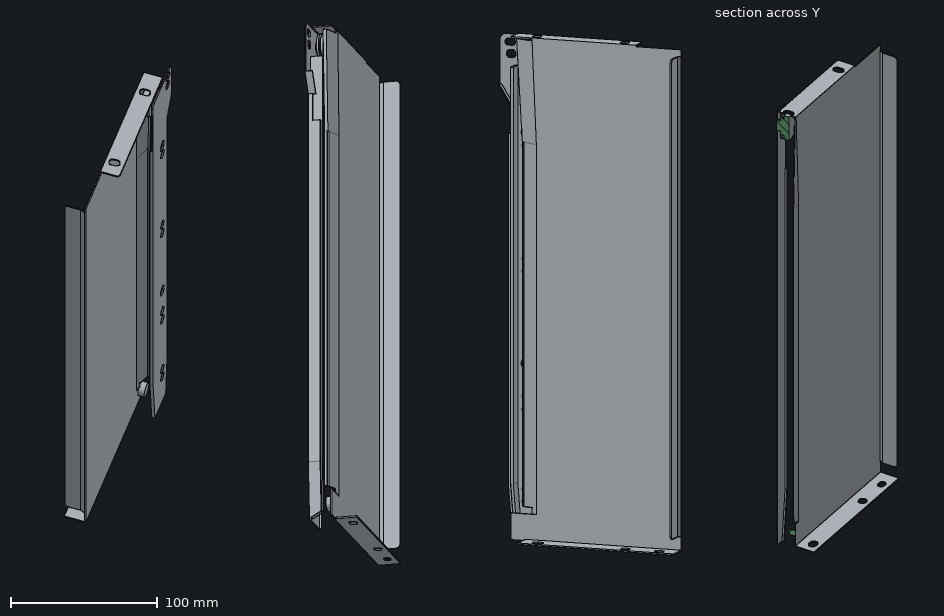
import cadquery as cq

WIDTH = 30.3
HEIGHT = 352.0
DEPTH = 137.5
SHEET = 1.0

PLATE_X = 14.8
PLATE_TOP = HEIGHT - SHEET
PANEL_BOTTOM = 3.0
CREASE_Z = 278.5
JOGGLE_START_Y = 105.5
JOGGLE_END_Y = 117.5
JOGGLE_START_TOP_Y = 108.8
JOGGLE_END_TOP_Y = 121.8
JOGGLE_X = 19.5
TAB_X = 22.0
FLAP_TOP = 22.0
FLAP_BACK_Y = 124.3
RELIEF_START_Y = 109.0
RELIEF_TOP = 26.0
TOP_RELIEF = 1.0
TAB_STEP = 0.7

FRONT_BOTTOM = 13.7
FRONT_TOP = 346.5
FRONT_SETBACK = 1.5
FRONT_SLOPE_X = 11.5
FRONT_CORNER = 2.8

BOTTOM_FLANGE_BACK_Y = 113.7
BOTTOM_HOLE_X = 6.0
BOTTOM_HOLES = [(101.0, 7.5, 5.5), (37.3, 6.5, 5.5), (12.5, 6.7, 4.5)]

TOP_FLANGE_FRONT_Y = 33.0
TOP_FLANGE_BACK_Y = 124.0
TOP_FLANGE_X = 28.5
TOP_FLANGE_CORNER = 2.0
TOP_HOLE_X = 21.5
TOP_HOLE_YS = [43.5, 107.7]
TOP_HOLE_LENGTH = 7.7
TOP_HOLE_WIDTH = 5.3

PIN_Y = 114.0
PIN_Z = 14.0
PIN_RADIUS = 5.3
PIN_END_X = 20.5

WEB_X = WIDTH - SHEET
WEB_FRONT_Y = 99.0
WEB_FOOT_FRONT_Y = 102.8
RAIL_BACK_Y = 129.0
RAIL_TAPER_Z = 40.5
BACK_TAPER = 3.0
EAR_BOTTOM_Z = 316.0
EAR_SLOPE_END_Z = 302.5
EAR_CORNER = 2.5
EAR_LIP_X = 25.0
NARROW_LIP_X = 27.0
FLANGE_X = 20.8
OUTER_FLANGE_X = 22.0
FLANGE_THICKNESS = 2.0
INNER_FLANGE_TOP = 329.5
OUTER_FLANGE_TOP = 283.5
FLANGE_BOTTOM_INSIDE = 6.5
FLANGE_BOTTOM_WEB = 1.8
FRONT_LIP_X = 27.8
FRONT_LIP_TOP = 300.3

EAR_SLOTS = [(130.2, 345.3, 7.5, 4.5), (129.5, 337.2, 6.7, 5.5)]
WEB_HOLE_Y = 118.3
WEB_HOLE_DIAMETER = 6.5
WEB_HOLE_ZS = [274.2, 196.0, 187.0, 100.5, 91.0, 36.3, 27.8]
LARGE_HOLE_DIAMETER = 7.7
LARGE_HOLE_ZS = [283.5, 123.2]

ROLLER_Y = 109.0
ROLLER_Z = 340.5
ROLLER_RADIUS = 10.0
ROLLER_START_X = 20.0
ROLLER_END_X = 27.0
GROOVE_RADIUS = 7.0
GROOVE_START_X = 24.3
GROOVE_END_X = 25.7
AXLE_RADIUS = 4.2


def box(x0, x1, y0, y1, z0, z1):
    """Box between the given limits."""
    return cq.Workplane("XY").box(x1 - x0, y1 - y0, z1 - z0, centered=False).translate((x0, y0, z0))


def slab_yz(points, x0, x1):
    """Outline in Y and Z, extruded along X from x0 to x1."""
    return cq.Workplane("YZ").workplane(offset=x0).polyline(points).close().extrude(x1 - x0)


def disc(y, z, radius, x0, x1):
    """Cylinder along X."""
    return cq.Workplane("YZ").workplane(offset=x0).center(y, z).circle(radius).extrude(x1 - x0)


def plate_outline(joggle_start_y, joggle_end_y):
    """Horizontal section of the plate: flat, sloped joggle and end tab."""
    inner_x = PLATE_X + SHEET
    return [
        (PLATE_X, 0),
        (inner_x, 0),
        (inner_x, joggle_start_y),
        (JOGGLE_X + SHEET, joggle_end_y - SHEET),
        (TAB_X, joggle_end_y - SHEET),
        (TAB_X, joggle_end_y),
        (JOGGLE_X, joggle_end_y),
        (PLATE_X, joggle_start_y),
    ]


def make_plate():
    """Plate with a joggle along its back, leaning above the crease, and a flat flap below it."""
    lower = (
        cq.Workplane("XY").workplane(offset=FLAP_TOP)
        .polyline(plate_outline(JOGGLE_START_Y, JOGGLE_END_Y)).close()
        .extrude(CREASE_Z - FLAP_TOP)
    )
    upper = (
        cq.Workplane("XY").workplane(offset=CREASE_Z)
        .polyline(plate_outline(JOGGLE_START_Y, JOGGLE_END_Y)).close()
        .workplane(offset=PLATE_TOP - CREASE_Z)
        .polyline(plate_outline(JOGGLE_START_TOP_Y, JOGGLE_END_TOP_Y)).close()
        .loft(ruled=True)
    )
    relief = box(PLATE_X, TAB_X, RELIEF_START_Y, JOGGLE_END_Y, FLAP_TOP, RELIEF_TOP)
    tab_step = box(
        JOGGLE_X - TAB_STEP, JOGGLE_X + TAB_STEP, JOGGLE_END_Y - SHEET, JOGGLE_END_Y, FLAP_TOP, CREASE_Z
    )
    joggle_top = PLATE_TOP - TOP_RELIEF
    top_relief = box(PLATE_X + SHEET, TAB_X, 0, JOGGLE_END_TOP_Y, joggle_top, PLATE_TOP)
    flap = box(PLATE_X, PLATE_X + SHEET, 0, FLAP_BACK_Y, PANEL_BOTTOM, FLAP_TOP)
    return lower.cut(relief).cut(tab_step).union(upper.cut(top_relief)).union(flap)


def make_front_flange():
    """Flange set back from the front edge and joined to the plate by a short slope."""
    section = [
        (0, FRONT_SETBACK),
        (FRONT_SLOPE_X, FRONT_SETBACK),
        (PLATE_X, 0),
        (PLATE_X, SHEET),
        (FRONT_SLOPE_X, FRONT_SETBACK + SHEET),
        (0, FRONT_SETBACK + SHEET),
    ]
    flange = (
        cq.Workplane("XY").workplane(offset=FRONT_BOTTOM)
        .polyline(section).close().extrude(FRONT_TOP - FRONT_BOTTOM)
    )
    return flange.edges("|Y and <X").fillet(FRONT_CORNER)


def make_bottom_flange():
    """Slotted flange along the bottom, turned towards -X."""
    flange = box(0, PLATE_X + SHEET, 0, BOTTOM_FLANGE_BACK_Y, PANEL_BOTTOM, PANEL_BOTTOM + SHEET)
    for y, length, width in BOTTOM_HOLES:
        slot = (
            cq.Workplane("XY").workplane(offset=PANEL_BOTTOM)
            .center(BOTTOM_HOLE_X, y).slot2D(length, width, angle=90).extrude(SHEET)
        )
        flange = flange.cut(slot)
    return flange


def make_top_flange():
    """Slotted flange along the top, turned towards +X."""
    flange = box(PLATE_X, TOP_FLANGE_X, TOP_FLANGE_FRONT_Y, TOP_FLANGE_BACK_Y, PLATE_TOP, HEIGHT)
    flange = flange.edges("|Z and >X and <Y").fillet(TOP_FLANGE_CORNER)
    slots = (
        cq.Workplane("XY").workplane(offset=PLATE_TOP)
        .pushPoints([(TOP_HOLE_X, y) for y in TOP_HOLE_YS])
        .slot2D(TOP_HOLE_LENGTH, TOP_HOLE_WIDTH).extrude(SHEET)
    )
    return flange.cut(slots)


def make_panel():
    """Side panel: plate, three flanges and a pin on its inner face."""
    pin = disc(PIN_Y, PIN_Z, PIN_RADIUS, PLATE_X, PIN_END_X)
    panel = make_plate().union(make_front_flange()).union(make_bottom_flange())
    return panel.union(make_top_flange()).union(pin)


def make_web():
    """Flat web of the rail with the ear at its top and a narrowed foot."""
    outline = [
        (WEB_FOOT_FRONT_Y, 0),
        (WEB_FRONT_Y, RAIL_TAPER_Z),
        (WEB_FRONT_Y, PLATE_TOP),
        (DEPTH - EAR_CORNER, PLATE_TOP),
        (DEPTH, PLATE_TOP - EAR_CORNER),
        (DEPTH, EAR_BOTTOM_Z),
        (RAIL_BACK_Y, EAR_SLOPE_END_Z),
        (RAIL_BACK_Y, RAIL_TAPER_Z),
        (RAIL_BACK_Y - BACK_TAPER, 0),
    ]
    web = slab_yz(outline, WEB_X, WIDTH)
    for y, z, length, width in EAR_SLOTS:
        slot = cq.Workplane("YZ").workplane(offset=WEB_X).center(y, z).slot2D(length, width).extrude(SHEET)
        web = web.cut(slot)
    for z in WEB_HOLE_ZS:
        web = web.cut(disc(WEB_HOLE_Y, z, WEB_HOLE_DIAMETER / 2, WEB_X, WIDTH))
    for z in LARGE_HOLE_ZS:
        web = web.cut(disc(WEB_HOLE_Y, z, LARGE_HOLE_DIAMETER / 2, WEB_X, WIDTH))
    return web


def tapered_flange(back_y, thickness, top_z, x0):
    """Flange along the back of the web that follows the taper of the foot."""
    outline = [
        (back_y - thickness, top_z),
        (back_y, top_z),
        (back_y, RAIL_TAPER_Z),
        (back_y - BACK_TAPER, 0),
        (back_y - thickness - BACK_TAPER, 0),
        (back_y - thickness, RAIL_TAPER_Z),
    ]
    return slab_yz(outline, x0, WEB_X)


def make_back_flanges():
    """Two stepped flanges along the back, cut away at a slant at their lower end."""
    inner_back_y = RAIL_BACK_Y - FLANGE_THICKNESS
    inner = tapered_flange(inner_back_y, FLANGE_THICKNESS, INNER_FLANGE_TOP, FLANGE_X)
    outer = tapered_flange(RAIL_BACK_Y, FLANGE_THICKNESS, OUTER_FLANGE_TOP, OUTER_FLANGE_X)
    corner = (
        cq.Workplane("XZ")
        .polyline([
            (FLANGE_X, 0),
            (FLANGE_X, FLANGE_BOTTOM_INSIDE),
            (WEB_X, FLANGE_BOTTOM_WEB),
            (WEB_X, 0),
        ])
        .close().extrude(-DEPTH)
    )
    return inner.union(outer).cut(corner)


def make_ear_lip():
    """Lip along the slope below the ear, running down to the wide back flange."""
    slope = slab_yz(
        [
            (DEPTH, EAR_BOTTOM_Z),
            (RAIL_BACK_Y, EAR_SLOPE_END_Z),
            (RAIL_BACK_Y - SHEET, EAR_SLOPE_END_Z),
            (DEPTH - SHEET, EAR_BOTTOM_Z),
        ],
        EAR_LIP_X, WEB_X,
    )
    upright = box(
        NARROW_LIP_X, WEB_X, RAIL_BACK_Y - SHEET, RAIL_BACK_Y, OUTER_FLANGE_TOP, EAR_SLOPE_END_Z
    )
    return slope.union(upright)


def make_front_lip():
    """Narrow lip along the front edge of the web."""
    outline = [
        (WEB_FRONT_Y, FRONT_LIP_TOP),
        (WEB_FRONT_Y + SHEET, FRONT_LIP_TOP),
        (WEB_FRONT_Y + SHEET, RAIL_TAPER_Z),
        (WEB_FOOT_FRONT_Y + SHEET, 0),
        (WEB_FOOT_FRONT_Y, 0),
        (WEB_FRONT_Y, RAIL_TAPER_Z),
    ]
    return slab_yz(outline, FRONT_LIP_X, WEB_X)


def make_roller():
    """Grooved wheel on an axle fixed to the web."""
    wheel = disc(ROLLER_Y, ROLLER_Z, ROLLER_RADIUS, ROLLER_START_X, GROOVE_START_X)
    core = disc(ROLLER_Y, ROLLER_Z, GROOVE_RADIUS, GROOVE_START_X, GROOVE_END_X)
    rim = disc(ROLLER_Y, ROLLER_Z, ROLLER_RADIUS, GROOVE_END_X, ROLLER_END_X)
    axle = disc(ROLLER_Y, ROLLER_Z, AXLE_RADIUS, ROLLER_END_X, WEB_X)
    return wheel.union(core).union(rim).union(axle)


def make_rail():
    """Runner rail with its flanges, lips and roller."""
    rail = make_web().union(make_back_flanges()).union(make_ear_lip())
    return rail.union(make_front_lip()).union(make_roller())


panel = make_panel()
rail = make_rail()
result = cq.Compound.makeCompound([panel.val(), rail.val()])